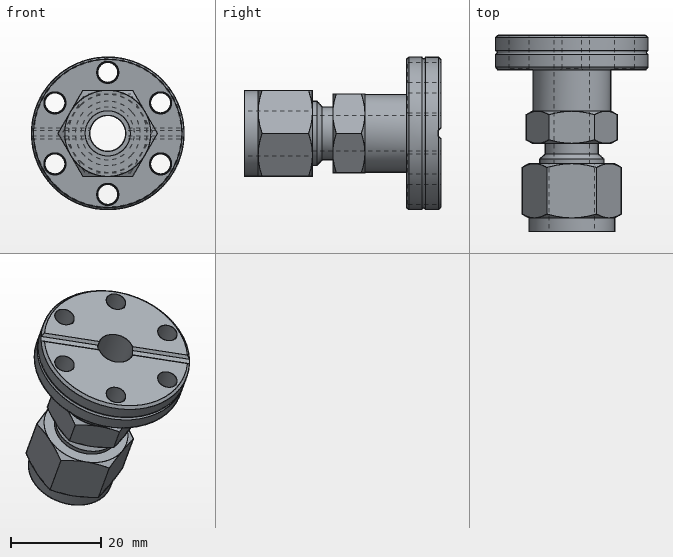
import cadquery as cq
import math


flange_diameter = 33.8
flange_thickness = 7.7
flange_chamfer = 0.6
barrel_side_chamfer_width = 0.5
rim_groove_width = 0.85
rim_groove_depth = 0.35
bolt_count = 6
bolt_circle_diameter = 27.0
bolt_hole_diameter = 4.4
bolt_hole_chamfer = 0.25
face_groove_depth = 0.6
face_groove_floor_width = 1.25

barrel_diameter = 17.27
barrel_length = 9.15
body_hex_flats = 17.46
body_hex_length = 7.1
neck_diameter = 11.77
neck_length = 2.35
collar_diameter = 14.29
collar_length = 1.0
collar_cone_length = 1.15
body_bore_diameter = 7.9

nut_hex_flats = 19.05
nut_hex_length = 12.0
nut_end_length = 3.05
nut_end_diameter = nut_hex_flats
nut_bore_diameter = 10.0

hex_chamfer_angle = 30.0

body_hex_start = flange_thickness + barrel_length
neck_start = body_hex_start + body_hex_length
cone_start = neck_start + neck_length
collar_start = cone_start + collar_cone_length
nut_start = collar_start + collar_length
nut_end_start = nut_start + nut_hex_length


def plane_at(depth):
    """Workplane across the axis whose extrusions run towards -Y."""
    return cq.Workplane("XZ", origin=(0, -depth, 0))


def cylinder(diameter, start_depth, length):
    return plane_at(start_depth).circle(diameter / 2).extrude(length)


def revolve_about_axis(profile):
    return profile.close().revolve(360, (0, 0, 0), (0, 1, 0))


def chamfered_hex(across_flats, start_depth, length):
    """Hexagon with corners on the X axis, its corners turned down to a cone at both ends."""
    flat_radius = across_flats / 2
    corner_radius = flat_radius / math.cos(math.radians(30))
    cone_length = (corner_radius - flat_radius) * math.tan(math.radians(hex_chamfer_angle))
    end_depth = start_depth + length
    prism = plane_at(start_depth).polygon(6, 2 * corner_radius).extrude(length)
    turned_envelope = revolve_about_axis(
        cq.Workplane("XY")
        .moveTo(0, -start_depth)
        .lineTo(flat_radius, -start_depth)
        .lineTo(corner_radius, -start_depth - cone_length)
        .lineTo(corner_radius, -end_depth + cone_length)
        .lineTo(flat_radius, -end_depth)
        .lineTo(0, -end_depth)
    )
    return prism.intersect(turned_envelope)


def flange_disc():
    """Chamfered disc with a round-bottomed groove around the middle of its rim."""
    radius = flange_diameter / 2
    groove_middle = flange_thickness / 2
    groove_start = groove_middle - rim_groove_width / 2
    groove_end = groove_middle + rim_groove_width / 2
    return revolve_about_axis(
        cq.Workplane("XY")
        .lineTo(radius - flange_chamfer, 0)
        .lineTo(radius, -flange_chamfer)
        .lineTo(radius, -groove_start)
        .threePointArc((radius - rim_groove_depth, -groove_middle), (radius, -groove_end))
        .lineTo(radius, -flange_thickness + flange_chamfer)
        .lineTo(radius - barrel_side_chamfer_width, -flange_thickness)
        .lineTo(0, -flange_thickness)
    )


def bolt_holes():
    """Through holes on the bolt circle, chamfered on the barrel side of the flange."""
    hole_radius = bolt_hole_diameter / 2
    mouth_radius = hole_radius + bolt_hole_chamfer
    hole = (
        cq.Workplane("XY")
        .lineTo(hole_radius, 0)
        .lineTo(hole_radius, -flange_thickness + bolt_hole_chamfer)
        .lineTo(mouth_radius, -flange_thickness)
        .lineTo(0, -flange_thickness)
    )
    hole = revolve_about_axis(hole).translate((0, 0, bolt_circle_diameter / 2))
    holes = cq.Workplane("XY")
    for index in range(bolt_count):
        angle = index * 360 / bolt_count
        holes = holes.add(hole.rotate((0, 0, 0), (0, 1, 0), angle))
    return holes.combine()


def face_groove():
    """Straight groove with 45 degree sides, running along X across the sealing face."""
    floor_half = face_groove_floor_width / 2
    mouth_half = floor_half + face_groove_depth
    return (
        cq.Workplane("YZ")
        .moveTo(0, -mouth_half)
        .lineTo(-face_groove_depth, -floor_half)
        .lineTo(-face_groove_depth, floor_half)
        .lineTo(0, mouth_half)
        .close()
        .extrude(flange_diameter / 2, both=True)
    )


def collar():
    """Collar against the nut, with a cone leading down to the neck."""
    return revolve_about_axis(
        cq.Workplane("XY")
        .moveTo(0, -cone_start)
        .lineTo(neck_diameter / 2, -cone_start)
        .lineTo(collar_diameter / 2, -collar_start)
        .lineTo(collar_diameter / 2, -nut_start)
        .lineTo(0, -nut_start)
    )


def make_fitting_body():
    return (
        flange_disc()
        .cut(bolt_holes())
        .cut(face_groove())
        .union(cylinder(barrel_diameter, flange_thickness, barrel_length))
        .union(chamfered_hex(body_hex_flats, body_hex_start, body_hex_length))
        .union(cylinder(neck_diameter, neck_start, neck_length))
        .union(collar())
        .cut(cylinder(body_bore_diameter, 0, nut_start))
    )


def make_nut():
    return (
        chamfered_hex(nut_hex_flats, nut_start, nut_hex_length)
        .union(cylinder(nut_end_diameter, nut_end_start, nut_end_length))
        .cut(cylinder(nut_bore_diameter, nut_start, nut_hex_length + nut_end_length))
    )


fitting_body = make_fitting_body()
nut = make_nut()

result = cq.Compound.makeCompound([fitting_body.solids().val(), nut.solids().val()])